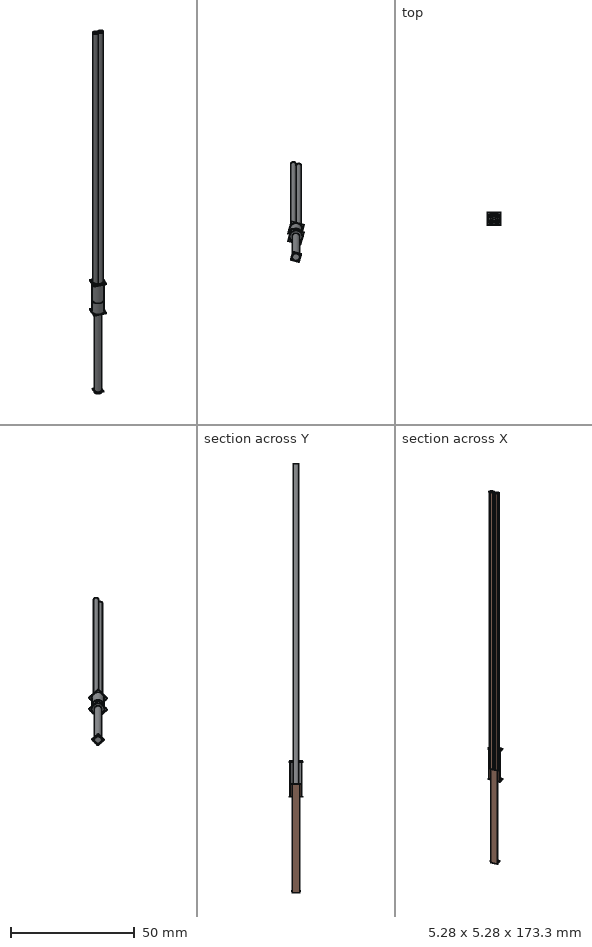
import cadquery as cq

total_height = 173.27

plate_thickness = 0.1

pin_diameter = 3.05
stop_plate_side = 3.5
stop_plate_bottom = 0.7

sleeve_diameter = 5.0
sleeve_bottom = 38.75
sleeve_top = 53.4
flange_side = 5.28
upper_flange_bottom = 52.8

wire_diameter = 2.25
core_diameter = 0.8
wire_offset = wire_diameter / 2
wire_bottom = 44.0
mark_depths = [20.35, 17.97, 10.17]
bore_clearance = 0.02
upper_bore_diameter = 2 * wire_diameter + bore_clearance


def cylinder(diameter, bottom, top, y=0):
    return cq.Workplane("XY", origin=(0, y, bottom)).circle(diameter / 2).extrude(top - bottom)


def square_plate(side, bottom):
    return cq.Workplane("XY", origin=(0, 0, bottom)).rect(side, side).extrude(plate_thickness)


def make_pin():
    shaft = cylinder(pin_diameter, 0, wire_bottom)
    return shaft.union(square_plate(stop_plate_side, stop_plate_bottom))


def make_sleeve():
    sleeve = cylinder(sleeve_diameter, sleeve_bottom, sleeve_top)
    for flange_bottom in (sleeve_bottom, upper_flange_bottom):
        sleeve = sleeve.union(square_plate(flange_side, flange_bottom))
    sleeve = sleeve.cut(cylinder(pin_diameter, sleeve_bottom, wire_bottom))
    return sleeve.cut(cylinder(upper_bore_diameter, wire_bottom, sleeve_top))


def make_core(y):
    return cylinder(core_diameter, wire_bottom, total_height, y)


def make_jacket(y):
    """Insulation tube; its outer surface stays divided at the mark lines."""
    mark_levels = [total_height - depth for depth in mark_depths]
    lower_ends = [wire_bottom] + mark_levels
    upper_ends = mark_levels + [total_height]
    jacket = cq.Workplane("XY")
    for bottom, top in zip(lower_ends, upper_ends):
        length = cylinder(wire_diameter, bottom, top, y).cut(cylinder(core_diameter, bottom, top, y))
        jacket = jacket.union(length, clean=False)
    return jacket


pin = make_pin()
sleeve = make_sleeve()

wires = []
for wire_y in (-wire_offset, wire_offset):
    wires.append(make_jacket(wire_y).val())
    wires.append(make_core(wire_y).val())

result = cq.Compound.makeCompound([pin.val(), sleeve.val(), *wires])